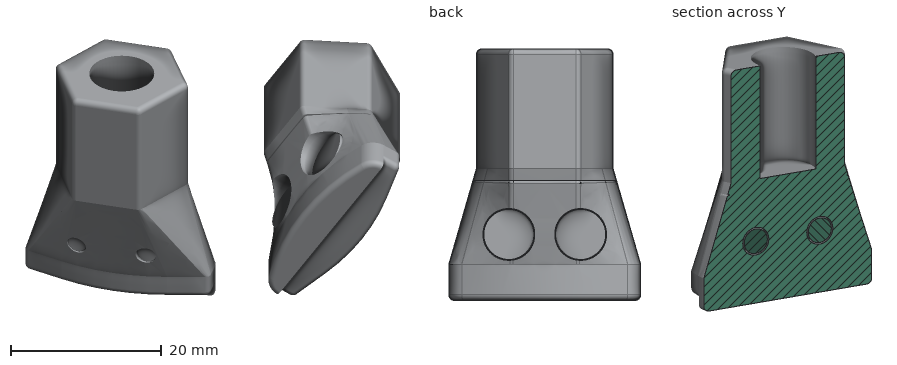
import cadquery as cq
import math

HEX_FLATS = 15.88
HEX_TOP = 33.36
HEX_BOTTOM = 17.5
HEX_EDGE_RADIUS = 0.79
HEX_TOP_RADIUS = 0.77
FOOT_TOP = 4.77
FOOT_BOTTOM = 1.57
FOOT_WIDTH = 25.43
FOOT_HALF_DEPTH = 4.8
FOOT_BOTTOM_RADIUS = 0.77
BORE_DIAMETER = 8.61
BORE_DEPTH = HEX_TOP - HEX_BOTTOM

FRONT_ARC_HALF_WIDTH = 7.27
FRONT_FLANK_ANGLE = 15.0
FOOT_CORNER_RADIUS = 0.79

CROWN_RADIUS = 30.0
END_RADIUS = 2.7
RIDGE_HALF_WIDTH = 4.2
RIDGE_STRIP_WIDTH = 0.4

PART_Y = 0.28
JAW_TOP = 15.9
JAW_TOP_RADIUS = 0.33
JAW_FRONT_RADIUS = 0.5

SCREW_SPACING = 9.52
SCREW_Z = 8.74
COUNTERBORE_DIAMETER = 6.86
CLEARANCE_DIAMETER = 3.81
THREAD_DIAMETER = 2.69
HEAD_DIAMETER = 6.66
SHANK_DIAMETER = 3.5
HEAD_TOP_Y = 4.12
HEAD_HEIGHT = 2.0
SCREW_TIP_Y = -4.9
SCREW_TIP_CHAMFER = 0.1

BLOCK_SIZE = 2 * HEX_TOP

foot_half_width = FOOT_WIDTH / 2
hex_half = HEX_FLATS / 2
head_seat_y = HEAD_TOP_Y - HEAD_HEIGHT
hex_tip_angle = math.radians(30)
hex_center_radius = (hex_half - HEX_EDGE_RADIUS) / math.cos(hex_tip_angle)
hex_tip_x = hex_center_radius + HEX_EDGE_RADIUS

end_center_x = foot_half_width - END_RADIUS
crown_center_y = FOOT_HALF_DEPTH - CROWN_RADIUS
end_turn = math.acos(end_center_x / (CROWN_RADIUS - END_RADIUS))
end_center_y = crown_center_y + (CROWN_RADIUS - END_RADIUS) * math.sin(end_turn)
crown_end_x = CROWN_RADIUS * math.cos(end_turn)
strip_end_x = RIDGE_HALF_WIDTH + RIDGE_STRIP_WIDTH

end_length = END_RADIUS * end_turn
crown_flank_length = CROWN_RADIUS * (math.acos(strip_end_x / CROWN_RADIUS) - end_turn)
end_share = end_length / (end_length + crown_flank_length)


def hex_corner_point(corner_angle, normal_angle):
    """Point on the rounded hexagon corner at corner_angle, where the outward normal is at normal_angle."""
    corner = math.radians(corner_angle)
    normal = math.radians(normal_angle)
    return (
        hex_center_radius * math.cos(corner) + HEX_EDGE_RADIUS * math.cos(normal),
        hex_center_radius * math.sin(corner) + HEX_EDGE_RADIUS * math.sin(normal),
    )


def crown_point(x):
    return (x, crown_center_y + math.sqrt(CROWN_RADIUS**2 - x**2))


def end_point(angle):
    return (end_center_x + END_RADIUS * math.cos(angle), end_center_y + END_RADIUS * math.sin(angle))


def mirrored(point):
    return (-point[0], point[1])


def symmetric_outline(z, start, right_side):
    """Closed outline at height z that mirrors right_side about X = 0.

    right_side lists (middle, end) for each stretch from start to the last one, which crosses X = 0
    and has only its middle. A middle of None stands for a straight stretch.
    """
    outline = cq.Workplane("XY", origin=(0, 0, z)).moveTo(*start)
    ends = [start] + [end for _, end in right_side[:-1]]
    middles = [middle for middle, _ in right_side]
    stretches = list(zip(middles, ends[1:] + [mirrored(ends[-1])]))
    for middle, end in zip(reversed(middles[:-1]), reversed(ends[:-1])):
        stretches.append((middle and mirrored(middle), mirrored(end)))
    for middle, end in stretches:
        if middle:
            outline = outline.threePointArc(middle, end)
        else:
            outline = outline.lineTo(*end)
    return outline.close()


def hex_front_outline():
    return symmetric_outline(HEX_BOTTOM, (hex_tip_x, 0), [
        (hex_corner_point(0, -15), hex_corner_point(0, -30)),
        (None, hex_corner_point(-60, -30)),
        (hex_corner_point(-60, -60), hex_corner_point(-60, -90)),
        (None, None),
    ])


def hex_rear_outline():
    """Rear half of the hexagon, its sloping sides divided in proportion to the foot's rear flanks."""
    side_start = hex_corner_point(0, 30)
    side_end = hex_corner_point(60, 30)
    side_split = tuple(a + end_share * (b - a) for a, b in zip(side_start, side_end))
    return symmetric_outline(HEX_BOTTOM, (hex_tip_x, 0), [
        (hex_corner_point(0, 15), side_start),
        (None, side_split),
        (None, side_end),
        (hex_corner_point(60, 60), hex_corner_point(60, 90)),
        (None, None),
    ])


def foot_front_outline(z, rear_y):
    """Front half of the foot, closed along Y = rear_y."""
    angle = math.radians(FRONT_FLANK_ANGLE)
    arc_sag = FRONT_ARC_HALF_WIDTH * math.tan(angle / 2)
    arc_end = (FRONT_ARC_HALF_WIDTH, arc_sag - FOOT_HALF_DEPTH)
    center_x = foot_half_width - FOOT_CORNER_RADIUS
    flank_end_x = center_x + FOOT_CORNER_RADIUS * math.sin(angle)
    flank_end_y = arc_end[1] + (flank_end_x - arc_end[0]) * math.tan(angle)
    center_y = flank_end_y + FOOT_CORNER_RADIUS * math.cos(angle)
    middle_angle = (math.pi / 2 - angle) / 2
    corner_middle = (
        center_x + FOOT_CORNER_RADIUS * math.cos(middle_angle),
        center_y - FOOT_CORNER_RADIUS * math.sin(middle_angle),
    )
    return symmetric_outline(z, (foot_half_width, rear_y), [
        (None, (foot_half_width, center_y)),
        (corner_middle, (flank_end_x, flank_end_y)),
        (None, arc_end),
        ((0, -FOOT_HALF_DEPTH), None),
    ])


def foot_rear_outline(z, front_y):
    """Rear half of the foot, closed along Y = front_y."""
    return symmetric_outline(z, (foot_half_width, front_y), [
        (None, end_point(0)),
        (end_point(end_turn / 2), crown_point(crown_end_x)),
        (crown_point((crown_end_x + strip_end_x) / 2), crown_point(strip_end_x)),
        (crown_point((strip_end_x + RIDGE_HALF_WIDTH) / 2), crown_point(RIDGE_HALF_WIDTH)),
        (crown_point(0), None),
    ])


def ruled_flare(foot_outline, hex_outline):
    sections = [outline.wires().val() for outline in (foot_outline, hex_outline)]
    return cq.Workplane(cq.Solid.makeLoft(sections, True))


def jaw_space():
    """Block that fills everything behind the parting plane up to the top of the jaw."""
    return (
        cq.Workplane("XY", origin=(0, PART_Y, 0))
        .box(BLOCK_SIZE, BLOCK_SIZE, JAW_TOP, centered=(True, False, False))
    )


def y_cylinder(x, diameter, front_y, rear_y):
    """Cylinder along Y at the height of the screws."""
    return (
        cq.Workplane("XZ", origin=(x, rear_y, SCREW_Z))
        .circle(diameter / 2)
        .extrude(rear_y - front_y)
    )


def screw_hole(x):
    counterbore = y_cylinder(x, COUNTERBORE_DIAMETER, head_seat_y, hex_half)
    clearance = y_cylinder(x, CLEARANCE_DIAMETER, PART_Y, head_seat_y)
    thread = y_cylinder(x, THREAD_DIAMETER, -hex_half, PART_Y)
    return counterbore.union(clearance).union(thread)


def make_screw(x):
    head = y_cylinder(x, HEAD_DIAMETER, head_seat_y, HEAD_TOP_Y)
    shank = y_cylinder(x, SHANK_DIAMETER, PART_Y, head_seat_y)
    thread = y_cylinder(x, THREAD_DIAMETER, SCREW_TIP_Y, PART_Y)
    thread = thread.faces("<Y").chamfer(SCREW_TIP_CHAMFER)
    return head.union(shank).union(thread)


def hex_head():
    head = (
        cq.Workplane("XY", origin=(0, 0, HEX_BOTTOM))
        .polygon(6, HEX_FLATS / math.cos(hex_tip_angle))
        .extrude(HEX_TOP - HEX_BOTTOM)
    )
    head = head.edges("|Z").fillet(HEX_EDGE_RADIUS)
    return head.faces(">Z").edges().fillet(HEX_TOP_RADIUS)


def socket_foot():
    foot = foot_front_outline(FOOT_BOTTOM, PART_Y).extrude(FOOT_TOP - FOOT_BOTTOM)
    return foot.faces("<Z").edges("not >Y").fillet(FOOT_BOTTOM_RADIUS)


def make_socket(rear_flare):
    front_flare = ruled_flare(foot_front_outline(FOOT_TOP, 0), hex_front_outline())
    socket = (
        hex_head()
        .union(front_flare)
        .union(rear_flare.cut(jaw_space()))
        .union(socket_foot())
    )
    bore = (
        cq.Workplane("XY", origin=(0, 0, HEX_TOP - BORE_DEPTH))
        .circle(BORE_DIAMETER / 2)
        .extrude(BORE_DEPTH)
    )
    return socket.cut(bore)


def jaw_front_rounding():
    """Sliver to remove so that the jaw's top front edge becomes round."""
    corner = cq.Workplane("XY", origin=(0, PART_Y, JAW_TOP - JAW_FRONT_RADIUS)).box(
        BLOCK_SIZE, JAW_FRONT_RADIUS, JAW_FRONT_RADIUS, centered=(True, False, False)
    )
    rounding = (
        cq.Workplane("YZ", origin=(-BLOCK_SIZE / 2, PART_Y + JAW_FRONT_RADIUS, JAW_TOP - JAW_FRONT_RADIUS))
        .circle(JAW_FRONT_RADIUS)
        .extrude(BLOCK_SIZE)
    )
    return corner.cut(rounding)


def make_jaw(rear_flare):
    below_top = cq.Workplane("XY").box(BLOCK_SIZE, BLOCK_SIZE, JAW_TOP, centered=(True, True, False))
    upper = rear_flare.intersect(below_top)
    upper = upper.faces(">Z").edges("not <Y").fillet(JAW_TOP_RADIUS)
    lower = foot_rear_outline(0, -FOOT_HALF_DEPTH).extrude(FOOT_TOP)
    lower = lower.faces("<Z").edges("not <Y").fillet(FOOT_BOTTOM_RADIUS)
    jaw = upper.intersect(jaw_space()).union(lower.intersect(jaw_space()))
    return jaw.cut(jaw_front_rounding())


def make_holder():
    """Socket and jaw as one solid, with the holes for the screws."""
    rear_flare = ruled_flare(foot_rear_outline(FOOT_TOP, 0), hex_rear_outline())
    holder = make_socket(rear_flare).union(make_jaw(rear_flare))
    for x in screw_places:
        holder = holder.cut(screw_hole(x))
    return holder


screw_places = (-SCREW_SPACING / 2, SCREW_SPACING / 2)
holder = make_holder()
screws = [make_screw(x) for x in screw_places]
result = cq.Compound.makeCompound([holder.val()] + [screw.val() for screw in screws])